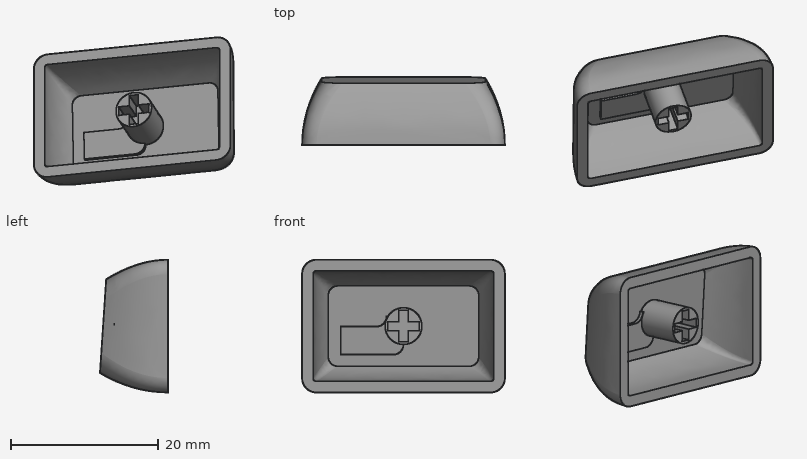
import cadquery as cq
import math

rim_length = 27.62
rim_width = 18.1
rim_corner = 2.0
wall = 1.52
opening_corner = rim_corner - wall

top_slope = 3.8
top_height = 8.87
top_inset = 2.68
top_corner = 2.75

ceiling_height = top_height - wall
ceiling_inset = 2.07
ceiling_corner = top_corner - wall

stem_diameter = 5.0
stem_recess = 0.9
socket_span = 4.25
socket_slot = 1.25
socket_depth = 3.8

plate_left = -8.53
plate_top = -0.05
plate_bottom = -3.87
plate_thickness = 0.55
plate_bend = 1.38
upper_bend_start = -3.7

section_count = 5


def sloping_plane(height, slope):
    """Plane facing the open rim that crosses the Y axis at height and leans slope degrees."""
    lean = math.radians(slope)
    return cq.Plane(origin=(0, height, 0), xDir=(1, 0, 0), normal=(0, -math.cos(lean), -math.sin(lean)))


def bulging_body(length, width, inset, height, corner, end_corner):
    """Loft whose sides leave the rim square to it and curve inwards as parabolas to the sloping end."""
    end_rise = math.tan(math.radians(top_slope))
    sections = []
    for index in range(section_count):
        part = index / (section_count - 1)
        slope = math.atan(end_rise * part)
        shrink = 2 * inset * part**2
        section_length = length - shrink
        section_width = (width - shrink) / math.cos(slope)
        section_corner = corner + (end_corner - corner) * part**2
        outline = cq.Sketch().rect(section_length, section_width).vertices().fillet(section_corner)
        plane = sloping_plane(height * part, math.degrees(slope))
        sections.append(outline.moved(cq.Location(plane)))
    return cq.Workplane().placeSketch(*sections).loft()


def make_cavity():
    """Hollow of the shell, from the open rim to the ceiling."""
    length = rim_length - 2 * wall
    width = rim_width - 2 * wall
    return bulging_body(length, width, ceiling_inset, ceiling_height, opening_corner, ceiling_corner)


def make_shell():
    outside = bulging_body(rim_length, rim_width, top_inset, top_height, rim_corner, top_corner)
    return outside.cut(make_cavity())


def stem_end():
    """Workplane on the free end of the stem, just inside the rim."""
    return cq.Workplane("XZ", origin=(0, stem_recess, 0))


def make_stem():
    """Stem that runs up to the sloping ceiling of the cavity and is trimmed by it."""
    return stem_end().circle(stem_diameter / 2).extrude(-top_height).intersect(make_cavity())


def make_socket():
    across = stem_end().rect(socket_span, socket_slot).extrude(-socket_depth)
    upright = stem_end().rect(socket_slot, socket_span).extrude(-socket_depth)
    return across.union(upright)


def make_plate():
    """Flat runner whose upper and lower edges both bend up into the stem."""
    diagonal = plate_bend * math.sqrt(0.5)
    lower_bend_start = -plate_bend
    upper_centre = plate_top + plate_bend
    lower_centre = plate_bottom + plate_bend
    return (
        cq.Workplane(sloping_plane(ceiling_height, top_slope))
        .moveTo(plate_left, plate_bottom)
        .lineTo(lower_bend_start, plate_bottom)
        .threePointArc((lower_bend_start + diagonal, lower_centre - diagonal), (0, lower_centre))
        .lineTo(0, upper_centre)
        .lineTo(upper_bend_start + plate_bend, upper_centre)
        .threePointArc((upper_bend_start + diagonal, upper_centre - diagonal), (upper_bend_start, plate_top))
        .lineTo(plate_left, plate_top)
        .close()
        .extrude(plate_thickness)
    )


def make_stem_insert():
    """Stem and runner plate in one piece, seated against the ceiling of the shell."""
    return make_stem().union(make_plate()).cut(make_socket())


shell = make_shell()
stem_insert = make_stem_insert()
result = cq.Compound.makeCompound([shell.solids().val(), stem_insert.solids().val()])